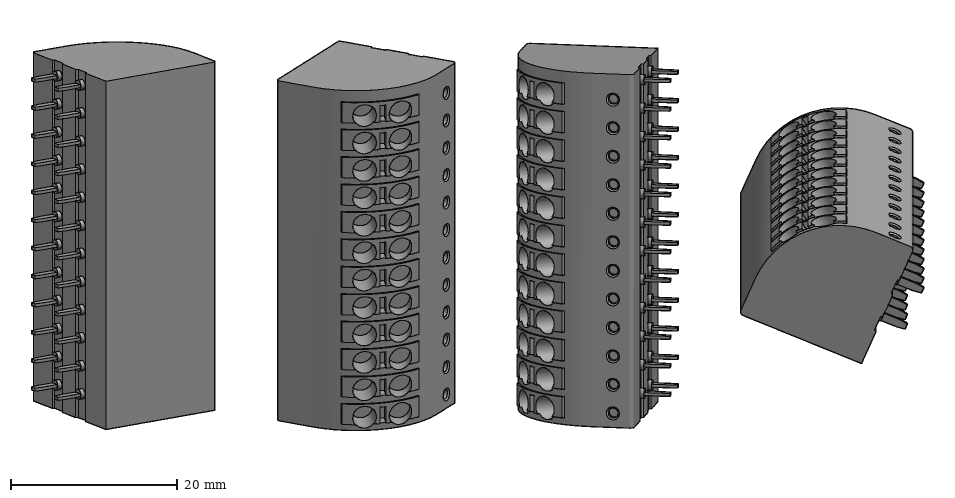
import cadquery as cq
import math

POLES = 12
PITCH = 3.5
FIRST_POLE_Z = PITCH / 2

WIDTH = 16.0
HEIGHT = 43.4
CURVE_RADIUS = 11.0
CORNER_RADIUS = 0.5
CURVE_CENTER = (CURVE_RADIUS, WIDTH - CURVE_RADIUS)

PAD_RISE = 0.27
PAD_LENGTH = 9.7
PAD_HEIGHT = 2.6
PAD_OFFSET_Z = 0.4
PAD_DIRECTION = 135.0
PAD_RADIUS = CURVE_RADIUS + PAD_RISE

BORE_TILT = 55.0
BORE_DIAMETER = 2.85
WIRE_BORE_ANGLE = 33.4
WIRE_BORE_DEPTH = 2.65
RELEASE_BORE_ANGLE = 56.5
RELEASE_BORE_DEPTH = 4.0
SLOT_ANGLE = 45.0
SLOT_WIDTH = 0.75
SLOT_HEIGHT = 2.1
SLOT_DEPTH = 2.0
SLOT_OFFSET_Z = 0.15
ENTRY_CLEARANCE = 2.0

TEST_HOLE_Y = 2.5
TEST_HOLE_DIAMETER = 1.2
TEST_HOLE_MOUTH = 1.6
TEST_HOLE_DEPTH = 0.8
TEST_HOLE_COUNTERSINK = (TEST_HOLE_MOUTH - TEST_HOLE_DIAMETER) / 2

ROW_SPACING = 5.0
ROW_SIDES = (-1, 1)
FIRST_PIN_Z = 3.2
GROOVE_DEPTH = 0.25
GROOVE_OUTER = 3.55
GROOVE_FLOOR_OUTER = 3.45
GROOVE_FLOOR_INNER = 1.68
GROOVE_INNER = 1.42
COLLAR_DIAMETER = 1.25
COLLAR_PROTRUSION = 0.35
PIN_LENGTH = 3.5
PIN_WIDTH = 1.0
PIN_THICKNESS = 0.38
PIN_TIP_WIDTH = 0.76
PIN_END_WIDTH = 0.7
PIN_TAPER_LENGTH = 0.9
PIN_END_LENGTH = 0.12


def pole_heights(first_z):
    return [first_z + index * PITCH for index in range(POLES)]


def make_housing():
    section = (
        cq.Workplane("XY")
        .rect(WIDTH, WIDTH, centered=False)
        .extrude(HEIGHT)
    )
    section = section.edges("|Z and <X and >Y").fillet(CURVE_RADIUS)
    rounded_corners = section.edges(
        cq.selectors.NearestToPointSelector((0, 0, HEIGHT / 2))
    ).fillet(CORNER_RADIUS)
    return rounded_corners.edges(
        cq.selectors.NearestToPointSelector((WIDTH, WIDTH, HEIGHT / 2))
    ).fillet(CORNER_RADIUS)


def make_pad():
    """Raised pad centred on Z = 0, with end faces parallel to its middle normal."""
    disc = cq.Workplane("XY").center(*CURVE_CENTER).circle(PAD_RADIUS).extrude(PAD_HEIGHT / 2, both=True)
    band = (
        cq.Workplane("XY")
        .box(PAD_RADIUS, PAD_LENGTH, PAD_HEIGHT, centered=(False, True, True))
        .rotate((0, 0, 0), (0, 0, 1), PAD_DIRECTION)
        .translate((*CURVE_CENTER, 0))
    )
    return disc.intersect(band)


def entry_plane(angle, z):
    """Plane at the pad surface, facing out of the tilted opening."""
    polar = math.radians(angle)
    tilt = math.radians(BORE_TILT)
    center_x, center_y = CURVE_CENTER
    origin = (
        center_x - PAD_RADIUS * math.cos(polar),
        center_y + PAD_RADIUS * math.sin(polar),
        z,
    )
    return cq.Plane(origin=origin, xDir=(0, 0, 1), normal=(-math.cos(tilt), math.sin(tilt), 0))


def make_bore(angle, depth):
    return (
        cq.Workplane(entry_plane(angle, 0))
        .workplane(offset=-depth)
        .circle(BORE_DIAMETER / 2)
        .extrude(depth + ENTRY_CLEARANCE)
    )


def make_slot():
    return (
        cq.Workplane(entry_plane(SLOT_ANGLE, SLOT_OFFSET_Z))
        .workplane(offset=-SLOT_DEPTH)
        .rect(SLOT_HEIGHT, SLOT_WIDTH)
        .extrude(SLOT_DEPTH + ENTRY_CLEARANCE)
    )


def make_test_hole():
    profile = [
        (0, 0),
        (0, TEST_HOLE_MOUTH / 2),
        (TEST_HOLE_COUNTERSINK, TEST_HOLE_DIAMETER / 2),
        (TEST_HOLE_DEPTH, TEST_HOLE_DIAMETER / 2),
        (TEST_HOLE_DEPTH, 0),
    ]
    hole = cq.Workplane("XY").polyline(profile).close().revolve(360, (0, 0, 0), (1, 0, 0))
    return hole.translate((0, TEST_HOLE_Y, 0))


def make_groove(side):
    """Groove along the full height, with sloped walls mirrored about mid-width."""
    middle = WIDTH / 2
    profile = [
        (middle + side * GROOVE_OUTER, 0),
        (middle + side * GROOVE_FLOOR_OUTER, GROOVE_DEPTH),
        (middle + side * GROOVE_FLOOR_INNER, GROOVE_DEPTH),
        (middle + side * GROOVE_INNER, 0),
    ]
    return cq.Workplane("XY").polyline(profile).close().extrude(HEIGHT)


def make_pin():
    """Flat tapered pin pointing along -Y from a round collar seated on the groove floor."""
    collar = (
        cq.Workplane("XZ", origin=(0, GROOVE_DEPTH, 0))
        .circle(COLLAR_DIAMETER / 2)
        .extrude(GROOVE_DEPTH + COLLAR_PROTRUSION)
    )
    end_start = PIN_LENGTH - PIN_END_LENGTH
    taper_start = end_start - PIN_TAPER_LENGTH
    right_side = [
        (PIN_WIDTH / 2, GROOVE_DEPTH),
        (PIN_WIDTH / 2, -taper_start),
        (PIN_TIP_WIDTH / 2, -end_start),
        (PIN_END_WIDTH / 2, -PIN_LENGTH),
    ]
    left_side = [(-x, y) for x, y in reversed(right_side)]
    blade = (
        cq.Workplane("XY")
        .polyline(right_side + left_side)
        .close()
        .extrude(PIN_THICKNESS / 2, both=True)
    )
    return collar.union(blade)


def repeat_along_z(shape, first_z):
    """All copies of one pole's feature, gathered in a single compound."""
    copies = [shape.translate((0, 0, z)).val() for z in pole_heights(first_z)]
    return cq.Workplane(cq.Compound.makeCompound(copies))


def build_part():
    part = make_housing()
    pad = make_pad()
    for pad_z in pole_heights(FIRST_POLE_Z + PAD_OFFSET_Z):
        part = part.union(pad.translate((0, 0, pad_z)))

    openings = (
        make_bore(WIRE_BORE_ANGLE, WIRE_BORE_DEPTH),
        make_bore(RELEASE_BORE_ANGLE, RELEASE_BORE_DEPTH),
        make_slot(),
        make_test_hole(),
    )
    for opening in openings:
        part = part.cut(repeat_along_z(opening, FIRST_POLE_Z))

    for side in ROW_SIDES:
        part = part.cut(make_groove(side))
        row_x = WIDTH / 2 + side * ROW_SPACING / 2
        pins = repeat_along_z(make_pin(), FIRST_PIN_Z).translate((row_x, 0, 0))
        part = part.union(pins)
    return part


result = build_part()